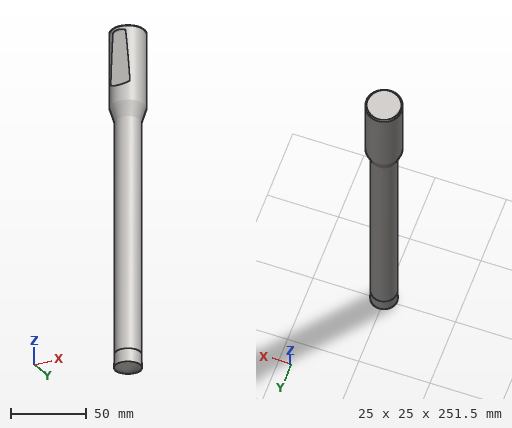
import cadquery as cq

total_length = 251.5
tip_point_height = 3.3
tip_top = 13.0
taper_bottom = 185.0
head_bottom = 195.7

head_radius = 25.0 / 2
shank_radius = 18.4 / 2
tip_end_radius = 18.5 / 2
head_chamfer = 1.0

flat_top = 248.7
flat_bottom = 209.8
flat_top_depth = 0.9
flat_bottom_depth = 2.4
flat_end_radius = 2.0
flat_end_rise = 3.8
flat_cut_width = 2 * head_radius


def revolve_about_z(profile):
    """Revolve a (radius, height) outline about the Z axis."""
    return cq.Workplane("XZ").polyline(profile).close().revolve(360, (0, 0, 0), (0, 1, 0))


def make_flat_cutter():
    """Prism whose inner face is the tilted floor, with rounded floor ends."""
    floor_top_y = -head_radius + flat_top_depth
    floor_bottom_y = -head_radius + flat_bottom_depth
    outer_y = floor_bottom_y - flat_end_rise
    profile = [
        (outer_y, flat_top),
        (floor_top_y, flat_top),
        (floor_bottom_y, flat_bottom),
        (outer_y, flat_bottom - flat_end_rise),
    ]
    prism = (
        cq.Workplane("YZ").polyline(profile).close()
        .extrude(flat_cut_width / 2, both=True)
    )
    around_floor = cq.selectors.BoxSelector(
        (-head_radius, -head_radius, 0),
        (head_radius, 0, total_length),
    )
    floor_ends = prism.edges("|X").edges(around_floor)
    return floor_ends.fillet(flat_end_radius)


def make_handle():
    """Shank that widens through a taper into the chamfered head."""
    blank = revolve_about_z([
        (0, tip_top),
        (shank_radius, tip_top),
        (shank_radius, taper_bottom),
        (head_radius, head_bottom),
        (head_radius, total_length - head_chamfer),
        (head_radius - head_chamfer, total_length),
        (0, total_length),
    ])
    return blank.cut(make_flat_cutter())


def make_tip():
    """Slightly flared collar closed by a shallow cone."""
    return revolve_about_z([
        (0, 0),
        (tip_end_radius, tip_point_height),
        (shank_radius, tip_top),
        (0, tip_top),
    ])


handle = make_handle()
tip = make_tip()
result = cq.Compound.makeCompound([handle.val(), tip.val()])